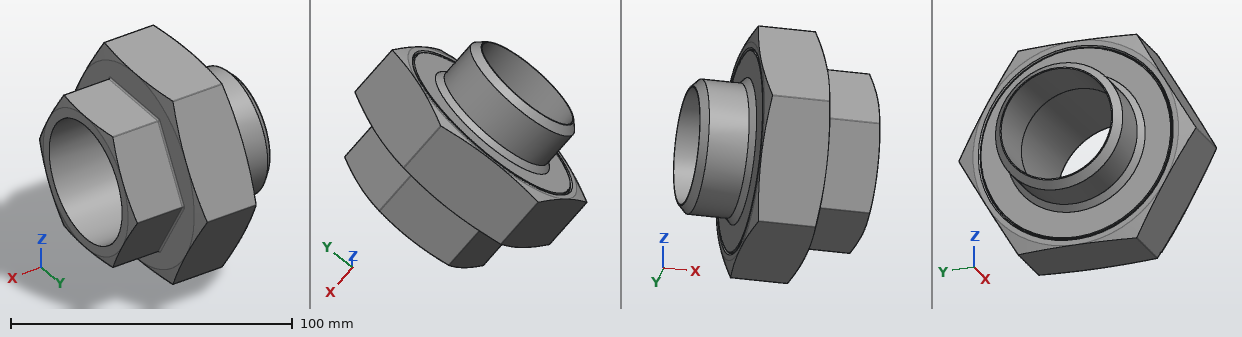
import cadquery as cq
import math

total_length = 64.0
nut_start = 19.4
nut_width = 23.9
nut_end = nut_start + nut_width

nut_across_flats = 78.0
socket_across_flats = 55.6
hex_edge_radius = 0.3
hex_chamfer_angle = 15.0
socket_root_fillet = 0.6

stub_radius = 48.3 / 2
bore_radius = 41.9 / 2
tip_bevel = 2.75
root_cone = 2.2

gap_inner_radius = 36.0
gap_width = 0.5
gap_depth = 1.0
gap_lip_chamfer = 0.5

socket_bore_radius = 47.8 / 2
bore_length = 20.2
bore_transition = socket_bore_radius - bore_radius


def revolve_profile(points):
    """Revolve (x, radius) points about the X axis."""
    return cq.Workplane("XY").polyline(points).close().revolve(360, (0, 0, 0), (1, 0, 0))


def across_corners(across_flats):
    """Corner-to-corner width of a sharp hexagon."""
    return across_flats / math.cos(math.pi / 6)


def corner_trimmer(across_flats, start, end, chamfer_start):
    """Round body that cones off hexagon corners at its end and, if asked, at its start."""
    flat_radius = across_flats / 2
    outer_radius = across_corners(across_flats)
    cone_length = (outer_radius - flat_radius) * math.tan(math.radians(hex_chamfer_angle))
    points = [(start, 0)]
    if chamfer_start:
        points.append((start, flat_radius))
        points.append((start + cone_length, outer_radius))
    else:
        points.append((start, outer_radius))
    points.append((end - cone_length, outer_radius))
    points.append((end, flat_radius))
    points.append((end, 0))
    return revolve_profile(points)


def make_hexagon(across_flats, start, end, chamfer_start):
    """Chamfered hexagonal bar along X with corners on +Y and -Y and rounded long edges."""
    plane = cq.Workplane("YZ", origin=(start, 0, 0))
    bar = plane.polygon(6, across_corners(across_flats)).extrude(end - start)
    bar = bar.edges("|X").fillet(hex_edge_radius)
    return bar.intersect(corner_trimmer(across_flats, start, end, chamfer_start))


def make_stub():
    return revolve_profile([
        (0, 0),
        (0, stub_radius - tip_bevel),
        (tip_bevel, stub_radius),
        (nut_start - root_cone, stub_radius),
        (nut_start, stub_radius + root_cone),
        (nut_start, 0),
    ])


def make_ring_gap():
    """Narrow annular groove with a chamfer on its outer lip."""
    gap_outer_radius = gap_inner_radius + gap_width
    return revolve_profile([
        (nut_start, gap_inner_radius),
        (nut_start, gap_outer_radius + gap_lip_chamfer),
        (nut_start + gap_lip_chamfer, gap_outer_radius),
        (nut_start + gap_depth, gap_outer_radius),
        (nut_start + gap_depth, gap_inner_radius),
    ])


def make_bore():
    return revolve_profile([
        (0, 0),
        (0, bore_radius),
        (bore_length, bore_radius),
        (bore_length + bore_transition, socket_bore_radius),
        (total_length, socket_bore_radius),
        (total_length, 0),
    ])


def fillet_socket_root(body):
    """Round the inner corner where the socket hexagon meets the nut face."""
    margin = 0.01
    half_y = across_corners(socket_across_flats) / 2
    half_z = socket_across_flats / 2 + margin
    low_corner = (nut_end - margin, -half_y, -half_z)
    high_corner = (nut_end + margin, half_y, half_z)
    root = cq.selectors.BoxSelector(low_corner, high_corner, boundingbox=True)
    return body.edges(root).fillet(socket_root_fillet)


nut = make_hexagon(nut_across_flats, nut_start, nut_end, chamfer_start=True)
socket = make_hexagon(socket_across_flats, nut_end, total_length, chamfer_start=False)
body = fillet_socket_root(nut.union(socket))
body = body.union(make_stub())
result = body.cut(make_ring_gap()).cut(make_bore())